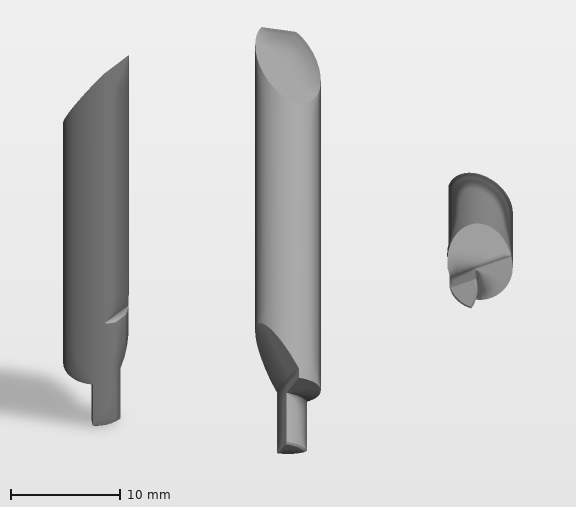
import cadquery as cq
import math

total_height = 42.0
rod_diameter = 6.0
rod_radius = rod_diameter / 2
shallow_flat_offset = 2.95
joint_height = 18.0
side_cut_top = 11.25
flat_offset = 2.48
flat_bottom = 12.25
flat_runout_drop = 0.35
bevel_angle = 60.0
tongue_length = 5.05
shoulder_rise = 0.13
tongue_left = 0.4
tongue_arc_radius = rod_radius
tongue_chamfer = 0.15
margin = 0.4

bevel_slope = math.tan(math.radians(bevel_angle))
reach = rod_radius + margin


def rod(bottom, top):
    return cq.Workplane("XY").workplane(offset=bottom).circle(rod_radius).extrude(top - bottom)


def side_profile(points):
    """Prism with an XZ outline, running across the rod along Y."""
    return cq.Workplane("XZ").polyline(points).close().extrude(reach, both=True)


def flat_cutter():
    """Material removed beside the flat, ending in a sloped shoulder."""
    slope = flat_runout_drop / (rod_radius - flat_offset)
    outer_bottom = flat_bottom - slope * (reach - flat_offset)
    top = total_height + margin
    return side_profile([
        (flat_offset, flat_bottom),
        (reach, outer_bottom),
        (reach, top),
        (flat_offset, top),
    ])


def shallow_flat_cutter():
    """Thin sliver shaved off the +X side of the base."""
    return side_profile([
        (shallow_flat_offset, -margin),
        (reach, -margin),
        (reach, flat_bottom),
        (shallow_flat_offset, flat_bottom),
    ])


def tip_cutter():
    """Sloped cut that rises from the -X side to the edge of the flat."""
    low = total_height - bevel_slope * (flat_offset + reach)
    high = total_height + bevel_slope * (reach - flat_offset)
    return side_profile([(-reach, low), (reach, high), (-reach, high)])


def half_cutter():
    """Removes the +Y half at the bottom, with a sloped run-out up to the rod side."""
    slope_start = side_cut_top - bevel_slope * rod_radius
    outline = [
        (0, -margin),
        (0, slope_start),
        (reach, slope_start + bevel_slope * reach),
        (reach, -margin),
    ]
    return cq.Workplane("YZ").polyline(outline).close().extrude(reach, both=True)


def shoulder_cutter():
    """Everything below the gently sloped shoulder, before the tongue is left out."""
    return side_profile([
        (-reach, -margin),
        (reach, -margin),
        (reach, tongue_length),
        (tongue_left, tongue_length),
        (-rod_radius, tongue_length + shoulder_rise),
        (-reach, tongue_length + shoulder_rise),
    ])


def tongue_blank():
    """Lens where the rod overlaps an equal circle set to its +X side."""
    arc_center = tongue_left + tongue_arc_radius
    outer = rod(0, joint_height / 2)
    inner = cq.Workplane("XY").center(arc_center, 0).circle(tongue_arc_radius).extrude(joint_height / 2)
    return outer.intersect(inner).faces("<Z").edges().chamfer(tongue_chamfer)


def make_tip():
    return rod(joint_height, total_height).cut(flat_cutter()).cut(tip_cutter())


def make_base():
    lower_rod = rod(0, joint_height).cut(flat_cutter())
    shank = lower_rod.cut(shoulder_cutter().cut(tongue_blank()))
    return shank.cut(half_cutter()).cut(shallow_flat_cutter())


tip = make_tip()
base = make_base()
result = cq.Compound.makeCompound([tip.val(), base.val()])